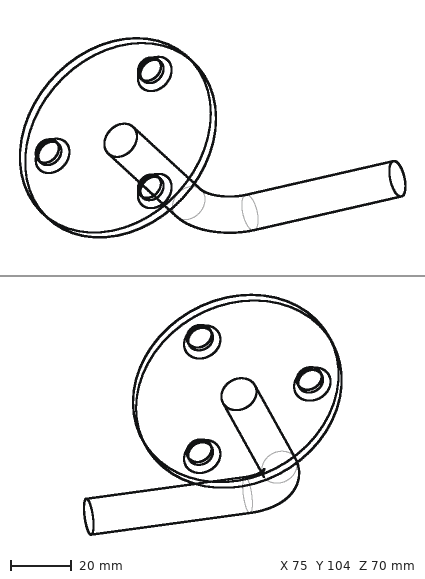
import cadquery as cq

overall_reach = 75.0
overall_length = 104.0
plate_diameter = 70.0
plate_thickness = 4.0
rod_diameter = 12.0
bend_radius = 15.0
hole_diameter = 8.4
countersink_depth = 2.0
countersink_angle = 90.0
hole_circle_radius = 25.0
hole_count = 3
first_hole_angle = 180.0

countersink_diameter = hole_diameter + 2 * countersink_depth

upright_x = overall_reach - rod_diameter / 2
tip_y = overall_length - plate_diameter / 2
bend_start_x = upright_x - bend_radius


def make_plate():
    """Round wall plate with evenly spaced screw holes, countersunk on the rod side."""
    plate = cq.Workplane("YZ").circle(plate_diameter / 2).extrude(plate_thickness)
    return (
        plate.faces(">X")
        .workplane(origin=(0, 0, 0))
        .polarArray(hole_circle_radius, first_hole_angle, 360, hole_count)
        .cskHole(hole_diameter, countersink_diameter, countersink_angle)
    )


def make_rod():
    """Round rod leaving the plate along +X and bending a quarter turn to +Y."""
    centre_line = (
        cq.Workplane("XY")
        .moveTo(plate_thickness, 0)
        .lineTo(bend_start_x, 0)
        .tangentArcPoint((upright_x, bend_radius), relative=False)
        .lineTo(upright_x, tip_y)
    )
    profile = cq.Workplane("YZ", origin=(plate_thickness, 0, 0)).circle(rod_diameter / 2)
    return profile.sweep(centre_line)


result = make_plate().union(make_rod())